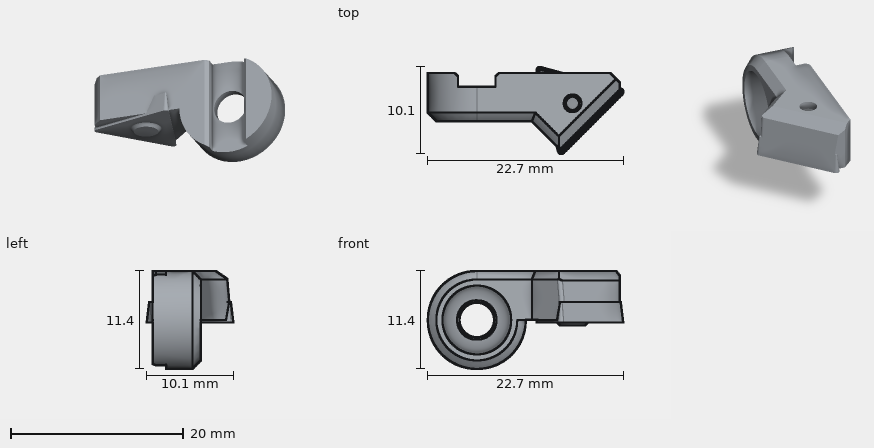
import cadquery as cq
import math

ring_radius = 5.7
body_depth = 5.6
edge_chamfer = 1.0
counterbore_radius = 4.0
counterbore_depth = 2.6
bore_radius = 2.0
bore_chamfer = 0.3

slot_half_width = 2.15
slot_depth = 1.6
slot_chamfer = 0.4

arm_end_x = 16.6
arm_bend_x = 6.38
nose_x = 9.5
end_corner_chamfer = 1.1

insert_x = 11.24
insert_y = 1.97
insert_inradius = 3.18
insert_corner_radius = 0.4
insert_height = 2.38
insert_bottom_z = -0.3
insert_turn = 15
insert_top_z = insert_bottom_z + insert_height
clearance_slope = math.tan(math.radians(7))

side_top_offset = 1.38
side_chamfer_height = 1.11
nose_radius = 0.4
cut_reach = 13.62

screw_x = 11.1
screw_y = 2.09
shank_radius = 1.02
shank_top_z = 4.9
tip_chamfer = 0.25
head_radius = 1.8
head_rise = 0.36


def make_ring():
    disc = cq.Workplane("XZ").circle(ring_radius).extrude(-body_depth)
    return disc.faces("<Y").chamfer(edge_chamfer)


def make_arm_blank():
    """Arm prism, oversize at the outer 45 degree side, which is trimmed afterwards."""
    nose_y = arm_bend_x - nose_x
    end_y = nose_y + arm_end_x - nose_x
    spare = edge_chamfer
    outline = [
        (0, 0),
        (arm_bend_x, 0),
        (nose_x + spare, nose_y - spare),
        (arm_end_x, end_y - 2 * spare),
        (arm_end_x, body_depth - end_corner_chamfer),
        (arm_end_x - end_corner_chamfer, body_depth),
        (0, body_depth),
    ]
    return cq.Workplane("XY").polyline(outline).close().extrude(ring_radius)


def side_cutter(profile):
    """Prism along the outer 45 degree side; profile points are (offset from insert centre, z)."""
    plane = cq.Plane(origin=(insert_x, insert_y, 0), xDir=(1, -1, 0), normal=(-1, -1, 0))
    return cq.Workplane(plane).polyline(profile).close().extrude(cut_reach, both=True)


def side_offset(z):
    """Distance of the sloping side from the insert centre at height z."""
    return insert_inradius - (z - insert_bottom_z) * clearance_slope


def make_arm():
    blank = make_arm_blank()

    slope_cutter = side_cutter([
        (side_offset(ring_radius), ring_radius),
        (side_offset(insert_bottom_z), insert_bottom_z),
        (cut_reach, insert_bottom_z),
        (cut_reach, ring_radius),
    ])
    nose_point = (nose_x, arm_bend_x - nose_x, ring_radius / 2)
    trimmed = blank.cut(slope_cutter)
    trimmed = trimmed.edges(cq.selectors.NearestToPointSelector(nose_point)).fillet(nose_radius)

    front_edges = cq.selectors.BoxSelector(
        (0.23, -ring_radius, ring_radius - 0.23), (nose_x, 0.23, ring_radius + 0.23)
    )
    shoulder_z = ring_radius - side_chamfer_height
    chamfer_cutter = side_cutter([
        (side_top_offset, ring_radius),
        (side_offset(shoulder_z), shoulder_z),
        (cut_reach, shoulder_z),
        (cut_reach, ring_radius),
    ])
    chamfered = blank.edges(front_edges).chamfer(edge_chamfer).cut(chamfer_cutter)
    return trimmed.intersect(chamfered)


def make_slot_cutter():
    floor_y = body_depth - slot_depth
    mouth_half_width = slot_half_width + slot_chamfer
    outline = [
        (-slot_half_width, floor_y),
        (slot_half_width, floor_y),
        (slot_half_width, body_depth - slot_chamfer),
        (mouth_half_width, body_depth),
        (-mouth_half_width, body_depth),
        (-slot_half_width, body_depth - slot_chamfer),
    ]
    return cq.Workplane("XY").polyline(outline).close().extrude(ring_radius, both=True)


def make_bore_cutter():
    """Counterbore, chamfered bore entry and through bore, revolved about the Y axis."""
    profile = [
        (0, 0),
        (counterbore_radius, 0),
        (counterbore_radius, counterbore_depth),
        (bore_radius + bore_chamfer, counterbore_depth),
        (bore_radius, counterbore_depth + bore_chamfer),
        (bore_radius, body_depth),
        (0, body_depth),
    ]
    return cq.Workplane("XY").polyline(profile).close().revolve(360, (0, 0), (0, 1))


def make_screw():
    """Countersunk screw, head down, with its shank ending inside the holder."""
    bottom_z = insert_bottom_z - head_rise
    cone_top_z = insert_bottom_z + head_radius - shank_radius
    profile = [
        (0, bottom_z),
        (head_radius - head_rise, bottom_z),
        (head_radius, insert_bottom_z),
        (shank_radius, cone_top_z),
        (shank_radius, shank_top_z - tip_chamfer),
        (shank_radius - tip_chamfer, shank_top_z),
        (0, shank_top_z),
    ]
    screw = cq.Workplane("XZ").polyline(profile).close().revolve(360, (0, 0), (0, 1))
    return screw.translate((screw_x, screw_y, 0))


def triangle_at(inradius, corner_radius, z):
    """Rounded triangle wire centred on the insert."""
    return (
        cq.Workplane("XY")
        .polygon(3, 4 * (inradius - corner_radius))
        .offset2D(corner_radius)
        .rotate((0, 0, 0), (0, 0, 1), insert_turn)
        .translate((insert_x, insert_y, z))
        .val()
    )


def make_insert_blank():
    shrink = insert_height * clearance_slope
    bottom = triangle_at(insert_inradius, insert_corner_radius, insert_bottom_z)
    top = triangle_at(insert_inradius - shrink, insert_corner_radius - shrink, insert_top_z)
    return cq.Workplane(cq.Solid.makeLoft([bottom, top], True))


insert_blank = make_insert_blank()
screw = make_screw()
screw_hole = cq.Workplane("XY").center(screw_x, screw_y).circle(shank_radius).extrude(ring_radius)

holder = (
    make_ring()
    .union(make_arm())
    .cut(make_slot_cutter())
    .cut(make_bore_cutter())
    .cut(screw_hole)
    .cut(insert_blank)
)
cutting_insert = insert_blank.cut(screw)

result = cq.Compound.makeCompound([holder.val(), cutting_insert.val(), screw.val()])